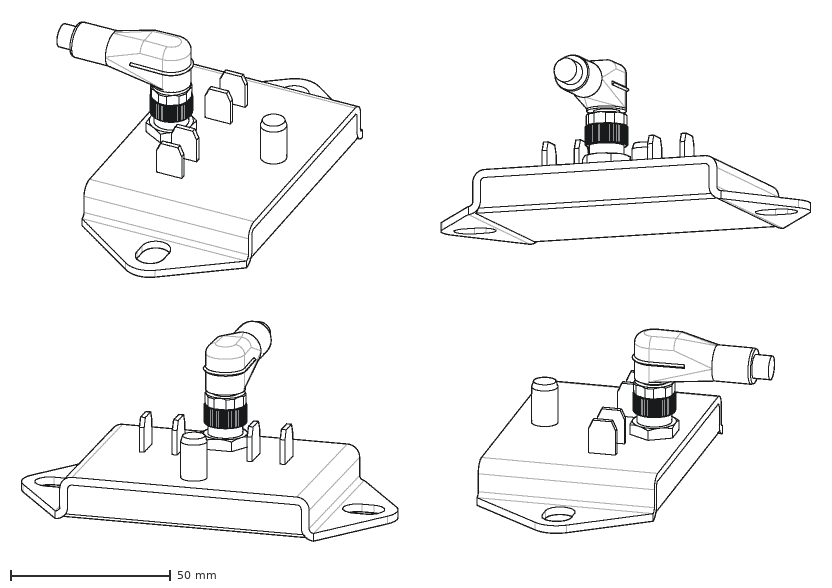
import cadquery as cq
import math

body_length_x = 57.3
overall_length_y = 122.4
sheet = 2.6
cover_half_width = 40.7
cover_height = 14.1
bend_inner = 1.5
bend_outer = bend_inner + sheet
ear_root_y = cover_half_width + bend_inner
ear_tip_radius = 8.6
slot_width = 9.4
slot_length = 13.3
slot_center_y = 50.3

blade_center_x = -7.1
blade_width = 8.8
blade_thickness = 1.6
blade_height = 11.0
blade_corner_x = 1.3
blade_corner_z = 2.9
blade_rows_y = (-23.0, -12.2, 12.2, 23.0)

stud_x = 17.9
stud_radius = 4.2
stud_height = 13.7
stud_chamfer_height = 1.8
stud_chamfer_inset = 0.6

filling_bottom = 0.5
filling_chamfer = 1.3

connector_x = -17.7
base_hex_flats = 13.8
base_hex_top = 17.7
base_crown = 0.5
barrel_radius = 5.5
ring_bottom = 21.2
ring_top = 27.4
ring_radius = 6.7
ring_bevel = 0.4
tooth_count = 72
tooth_depth = 0.4
nut_flats = 12.4
nut_corner_radius = 6.5
nut_top = 31.1
nut_chamfer = 0.4
neck_radius = 4.2

head_bottom = 32.2
head_disc_height = 0.6
head_top = 47.1
head_radius = 6.2
head_edge_radius = 3.0
head_slope_end_x = -25.7
cable_axis_z = 39.0
sleeve_radius = 5.8
sleeve_end_x = -37.9
sleeve_start_x = -50.4
sleeve_chamfer = 0.7
sleeve_chamfer_inset = 0.2
cable_radius = 3.8
cable_end_x = -55.8
tiny_flat = 0.1

ridge_start_x = -29.1
ridge_half_height = 0.6
ridge_depth = 0.7


def cylinder(x, radius, bottom, top):
    return cq.Workplane("XY", origin=(x, 0, bottom)).circle(radius).extrude(top - bottom)


def hat_path(wall_y, top, crown_radius, foot_radius, foot_z):
    """Open hat-shaped path across Y: foot bend, wall, crown bend, top, and back down to foot_z."""
    diagonal = math.sqrt(0.5)
    crown_y = wall_y - crown_radius
    crown_z = top - crown_radius
    foot_y = wall_y + foot_radius
    foot_center_z = foot_z + foot_radius
    crown_mid = (crown_y + crown_radius * diagonal, crown_z + crown_radius * diagonal)
    foot_mid = (foot_y - foot_radius * diagonal, foot_center_z - foot_radius * diagonal)
    return (
        cq.Workplane("YZ", origin=(-body_length_x / 2, 0, 0))
        .moveTo(-foot_y, foot_z)
        .threePointArc((-foot_mid[0], foot_mid[1]), (-wall_y, foot_center_z))
        .lineTo(-wall_y, crown_z)
        .threePointArc((-crown_mid[0], crown_mid[1]), (-crown_y, top))
        .lineTo(crown_y, top)
        .threePointArc(crown_mid, (wall_y, crown_z))
        .lineTo(wall_y, foot_center_z)
        .threePointArc(foot_mid, (foot_y, foot_z))
    )


def make_cavity():
    """Space below the bent sheet, limited by its inner faces and the ground plane."""
    inner = hat_path(cover_half_width - sheet, cover_height - sheet, bend_inner, bend_outer, 0)
    return inner.close().extrude(body_length_x)


def make_hat():
    """Solid below the outer faces of the bent sheet, with straight ears out to both ends."""
    end_y = overall_length_y / 2
    outer = hat_path(cover_half_width, cover_height, bend_outer, bend_inner, sheet)
    return (
        outer
        .lineTo(end_y, sheet)
        .lineTo(end_y, 0)
        .lineTo(-end_y, 0)
        .lineTo(-end_y, sheet)
        .close()
        .extrude(body_length_x)
    )


def make_plan():
    """Six-sided plan with rounded ear tips; the ear sides run tangent into the tips."""
    half_x = body_length_x / 2
    tip_y = overall_length_y / 2
    center_y = tip_y - ear_tip_radius
    to_center_y = center_y - ear_root_y
    corner_distance = math.hypot(half_x, to_center_y)
    side_angle = math.atan2(to_center_y, half_x) + math.asin(ear_tip_radius / corner_distance)
    tangent_x = ear_tip_radius * math.sin(side_angle)
    tangent_y = center_y + ear_tip_radius * math.cos(side_angle)
    return (
        cq.Workplane("XY")
        .moveTo(-half_x, -ear_root_y)
        .lineTo(-tangent_x, -tangent_y)
        .threePointArc((0, -tip_y), (tangent_x, -tangent_y))
        .lineTo(half_x, -ear_root_y)
        .lineTo(half_x, ear_root_y)
        .lineTo(tangent_x, tangent_y)
        .threePointArc((0, tip_y), (-tangent_x, tangent_y))
        .lineTo(-half_x, ear_root_y)
        .close()
        .extrude(cover_height)
    )


def make_blade(y):
    half = blade_width / 2
    return (
        cq.Workplane("XZ", origin=(blade_center_x, y + blade_thickness / 2, cover_height))
        .polyline([
            (-half, 0),
            (half, 0),
            (half, blade_height - blade_corner_z),
            (half - blade_corner_x, blade_height),
            (blade_corner_x - half, blade_height),
            (-half, blade_height - blade_corner_z),
        ])
        .close()
        .extrude(blade_thickness)
    )


def make_stud():
    stud = cylinder(stud_x, stud_radius, cover_height, cover_height + stud_height)
    return stud.faces(">Z").chamfer(stud_chamfer_height, stud_chamfer_inset)


def make_bracket(cavity):
    bracket = make_hat().intersect(make_plan()).cut(cavity)
    slots = (
        cq.Workplane("XY")
        .pushPoints([(0, -slot_center_y), (0, slot_center_y)])
        .slot2D(slot_length, slot_width, 90)
        .extrude(sheet)
    )
    bracket = bracket.cut(slots)
    for y in blade_rows_y:
        bracket = bracket.union(make_blade(y))
    return bracket.union(make_stud())


def make_filling(cavity):
    """Block filling the cavity, with its two long lower edges chamfered."""
    half_x = body_length_x / 2
    section = (
        cq.Workplane("XZ", origin=(0, ear_root_y, 0))
        .polyline([
            (-half_x, cover_height),
            (-half_x, filling_bottom + filling_chamfer),
            (filling_chamfer - half_x, filling_bottom),
            (half_x - filling_chamfer, filling_bottom),
            (half_x, filling_bottom + filling_chamfer),
            (half_x, cover_height),
        ])
        .close()
        .extrude(2 * ear_root_y)
    )
    return cavity.intersect(section)


def hexagon(flats, bottom, top, turn):
    across_corners = flats / math.cos(math.pi / 6)
    return (
        cq.Workplane("XY", origin=(connector_x, 0, bottom))
        .transformed(rotate=(0, 0, turn))
        .polygon(6, across_corners)
        .extrude(top - bottom)
    )


def make_base_hexagon():
    """Hexagon with flats toward X and a crown that trims its upper corners."""
    corner_radius = base_hex_flats / 2 / math.cos(math.pi / 6)
    crown = cylinder(connector_x, corner_radius, cover_height, base_hex_top)
    crown = crown.faces(">Z").chamfer(base_crown, corner_radius - base_hex_flats / 2)
    return hexagon(base_hex_flats, cover_height, base_hex_top, 30).intersect(crown)


def make_knurled_ring():
    points = []
    for index in range(2 * tooth_count):
        radius = ring_radius - tooth_depth * (index % 2)
        angle = math.pi * index / tooth_count
        points.append((radius * math.cos(angle), radius * math.sin(angle)))
    teeth = (
        cq.Workplane("XY", origin=(connector_x, 0, ring_bottom))
        .polyline(points)
        .close()
        .extrude(ring_top - ring_bottom)
    )
    envelope = cylinder(connector_x, ring_radius, ring_bottom, ring_top).edges().chamfer(ring_bevel)
    return teeth.intersect(envelope)


def make_nut():
    """Hexagon with flats toward X whose corners are turned round."""
    envelope = cylinder(connector_x, nut_corner_radius, ring_top, nut_top)
    envelope = envelope.faces(">Z").chamfer(nut_chamfer)
    return hexagon(nut_flats, ring_top, nut_top, 30).intersect(envelope)


def half_section(workplane, half_width, height, corner_radius, side):
    """Half of a rounded rectangle above (side = 1) or below (side = -1) the cable axis."""
    flat = half_width - corner_radius
    straight = height - corner_radius
    reach = corner_radius * math.sqrt(0.5)
    return (
        workplane
        .moveTo(-half_width, 0)
        .lineTo(-half_width, side * straight)
        .threePointArc((-flat - reach, side * (straight + reach)), (-flat, side * height))
        .lineTo(flat, side * height)
        .threePointArc((flat + reach, side * (straight + reach)), (half_width, side * straight))
        .lineTo(half_width, 0)
        .close()
    )


def blend(start_x, start_size, end_x, end_size, side):
    """Ruled solid between two half sections, each sized (half width, height, corner radius)."""
    plane = cq.Workplane("YZ", origin=(start_x, 0, cable_axis_z))
    start = half_section(plane, *start_size, side)
    end = half_section(start.workplane(offset=end_x - start_x), *end_size, side)
    return end.loft(ruled=True, combine=True)


def head_half_width(x):
    """The head widens evenly from the sleeve to the connector axis."""
    share = (x - sleeve_end_x) / (connector_x - sleeve_end_x)
    return sleeve_radius + share * (head_radius - sleeve_radius)


def make_turret(bottom):
    """Half-round back of the head with a rounded top edge."""
    flat = head_radius - head_edge_radius
    reach = head_edge_radius * math.sqrt(0.5)
    wall_top = head_top - head_edge_radius
    return (
        cq.Workplane("YZ", origin=(connector_x, 0, 0))
        .moveTo(0, bottom)
        .lineTo(-head_radius, bottom)
        .lineTo(-head_radius, wall_top)
        .threePointArc((-flat - reach, wall_top + reach), (-flat, head_top))
        .lineTo(0, head_top)
        .close()
        .revolve(180, (0, 0, 0), (0, 1, 0))
    )


def make_head():
    upper_height = head_top - cable_axis_z
    lower_bottom = head_bottom + head_disc_height
    sleeve_size = (sleeve_radius, sleeve_radius, sleeve_radius - tiny_flat)
    slope_size = (head_half_width(head_slope_end_x), upper_height, head_edge_radius)
    upper_size = (head_radius, upper_height, head_edge_radius)
    lower_size = (head_radius, cable_axis_z - lower_bottom, tiny_flat)

    disc = cylinder(connector_x, head_radius, head_bottom, lower_bottom)
    slope = blend(sleeve_end_x, sleeve_size, head_slope_end_x, slope_size, 1)
    crest = blend(head_slope_end_x, slope_size, connector_x, upper_size, 1)
    belly = blend(sleeve_end_x, sleeve_size, connector_x, lower_size, -1)
    return slope.union(crest).union(belly).union(make_turret(lower_bottom)).union(disc)


def ridge_outline(workplane, depth):
    """Plan outline of the head from the ridge start around the turret, grown by a depth."""
    start_width = head_half_width(ridge_start_x) + depth
    radius = head_radius + depth
    return (
        workplane
        .moveTo(ridge_start_x, -start_width)
        .lineTo(connector_x, -radius)
        .threePointArc((connector_x + radius, 0), (connector_x, radius))
        .lineTo(ridge_start_x, start_width)
        .close()
    )


def make_ridge():
    """V-shaped ridge along both sides and the back of the head, level with the cable."""
    ridge = cq.Workplane("XY")
    for side in (-1, 1):
        middle = ridge_outline(cq.Workplane("XY", origin=(0, 0, cable_axis_z)), ridge_depth)
        rim = ridge_outline(middle.workplane(offset=side * ridge_half_height), 0)
        ridge = ridge.union(rim.loft(ruled=True, combine=True))
    return ridge


def make_sleeve_and_cable():
    sleeve = (
        cq.Workplane("YZ", origin=(sleeve_start_x, 0, cable_axis_z))
        .circle(sleeve_radius)
        .extrude(sleeve_end_x - sleeve_start_x)
        .faces("<X")
        .chamfer(sleeve_chamfer, sleeve_chamfer_inset)
    )
    cable = (
        cq.Workplane("YZ", origin=(cable_end_x, 0, cable_axis_z))
        .circle(cable_radius)
        .extrude(sleeve_start_x - cable_end_x)
    )
    return sleeve.union(cable)


def make_connector():
    connector = make_base_hexagon()
    connector = connector.union(cylinder(connector_x, barrel_radius, base_hex_top, ring_bottom))
    connector = connector.union(make_knurled_ring())
    connector = connector.union(make_nut())
    connector = connector.union(cylinder(connector_x, neck_radius, nut_top, head_bottom))
    connector = connector.union(make_head())
    connector = connector.union(make_ridge())
    return connector.union(make_sleeve_and_cable())


cavity = make_cavity()
bracket = make_bracket(cavity)
filling = make_filling(cavity)
connector = make_connector()

result = cq.Compound.makeCompound([bracket.val(), filling.val(), connector.val()])